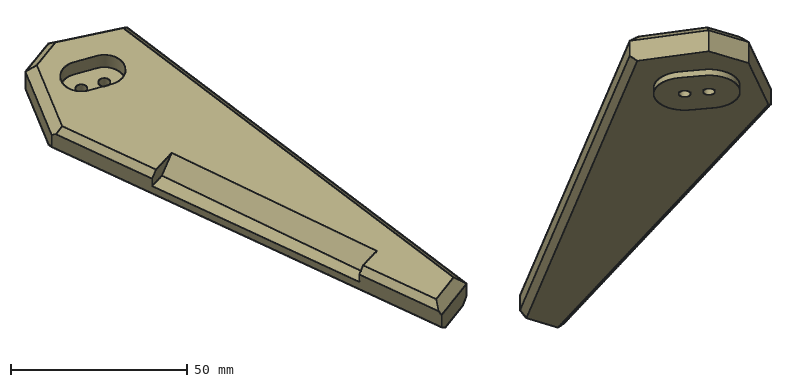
import cadquery as cq
import math

TIP_UPPER = (150.0, 49.67)
TIP_LOWER = (154.74, 36.1)
HEEL_BOTTOM = (27.9, 0.0)
HEEL_LOWER = (4.15, 10.9)
HEEL_LEFT = (0.0, 23.2)
HEEL_UPPER = (9.7, 44.2)
OUTLINE = [HEEL_UPPER, HEEL_LEFT, HEEL_LOWER, HEEL_BOTTOM, TIP_LOWER, TIP_UPPER]

PLATE_THICKNESS = 10.0
WIDE_BEVEL = 3.0
NARROW_BEVEL = 2.0

MOUNT_CENTER = (19.4, 23.0)
MOUNT_ANGLE = 70.0
HOLE_SPACING = 7.0
HOLE_DIAMETER = 3.4
RECESS_WIDTH = 12.0
RECESS_DEPTH = 5.0
BOSS_WIDTH = 17.6
BOSS_HEIGHT = 2.0

NOTCH_START = 34.0
NOTCH_ANGLE = 15.0
NOTCH_LENGTH = 70.0
NOTCH_DEPTH = 5.0
NOTCH_FLOOR_WIDTH = 5.0

CUT_MARGIN = 5.0


def run_cutter(start, angle, length, profile):
    """Prism run horizontally from a start point, its section given as (distance outward, height)."""
    heading = math.radians(angle)
    along = (math.cos(heading), math.sin(heading), 0)
    outward = (along[1], -along[0], 0)
    section = cq.Workplane(cq.Plane(origin=(*start, 0), xDir=outward, normal=[-c for c in along]))
    return section.polyline(profile).close().extrude(-length)


def point_along(start, end, distance):
    """Point on the line from start to end, at a distance from start."""
    share = distance / math.dist(start, end)
    return tuple(a + share * (b - a) for a, b in zip(start, end))


def bevel_cutter(start, end, size, on_top):
    """Triangular prism that removes a 45 degree bevel along the top or bottom of one edge."""
    face_z = PLATE_THICKNESS if on_top else 0.0
    up = 1 if on_top else -1
    profile = [
        (-size - CUT_MARGIN, face_z + up * CUT_MARGIN),
        (CUT_MARGIN, face_z - up * (size + CUT_MARGIN)),
        (CUT_MARGIN, face_z + up * CUT_MARGIN),
    ]
    angle = math.degrees(math.atan2(end[1] - start[1], end[0] - start[0]))
    length = math.dist(start, end) + 2 * CUT_MARGIN
    return run_cutter(point_along(start, end, -CUT_MARGIN), angle, length, profile)


def notch_cutter():
    """Notch tool whose floor width is measured at the end nearer the heel."""
    floor_z = PLATE_THICKNESS - NOTCH_DEPTH
    top_z = PLATE_THICKNESS + CUT_MARGIN
    profile = [
        (CUT_MARGIN, floor_z),
        (-NOTCH_FLOOR_WIDTH, floor_z),
        (-NOTCH_FLOOR_WIDTH - NOTCH_DEPTH - CUT_MARGIN, top_z),
        (CUT_MARGIN, top_z),
    ]
    start = point_along(HEEL_BOTTOM, TIP_LOWER, NOTCH_START)
    return run_cutter(start, NOTCH_ANGLE, NOTCH_LENGTH, profile)


def mount_plane(z):
    """Horizontal workplane on the mount, with local x along the row of holes."""
    return cq.Workplane("XY", origin=(*MOUNT_CENTER, z)).transformed(rotate=(0, 0, MOUNT_ANGLE))


def mount_obround(z, width, height):
    """Obround whose end arcs are centred on the two holes."""
    return mount_plane(z).slot2D(HOLE_SPACING + width, width).extrude(height)


def beveled_plate():
    plate = cq.Workplane("XY").polyline(OUTLINE).close().extrude(PLATE_THICKNESS)
    for start, end in zip(OUTLINE, OUTLINE[1:] + OUTLINE[:1]):
        size = NARROW_BEVEL if start == HEEL_BOTTOM else WIDE_BEVEL
        plate = plate.cut(bevel_cutter(start, end, size, on_top=True))
    for start, end in [(HEEL_BOTTOM, TIP_LOWER), (TIP_UPPER, HEEL_UPPER)]:
        plate = plate.cut(bevel_cutter(start, end, NARROW_BEVEL, on_top=False))
    return plate


def screw_holes():
    holes = mount_plane(-BOSS_HEIGHT).rarray(HOLE_SPACING, 1, 2, 1).circle(HOLE_DIAMETER / 2)
    return holes.extrude(BOSS_HEIGHT + PLATE_THICKNESS)


boss = mount_obround(-BOSS_HEIGHT, BOSS_WIDTH, BOSS_HEIGHT)
recess = mount_obround(PLATE_THICKNESS - RECESS_DEPTH, RECESS_WIDTH, RECESS_DEPTH)

result = beveled_plate().cut(notch_cutter()).union(boss).cut(recess).cut(screw_holes())